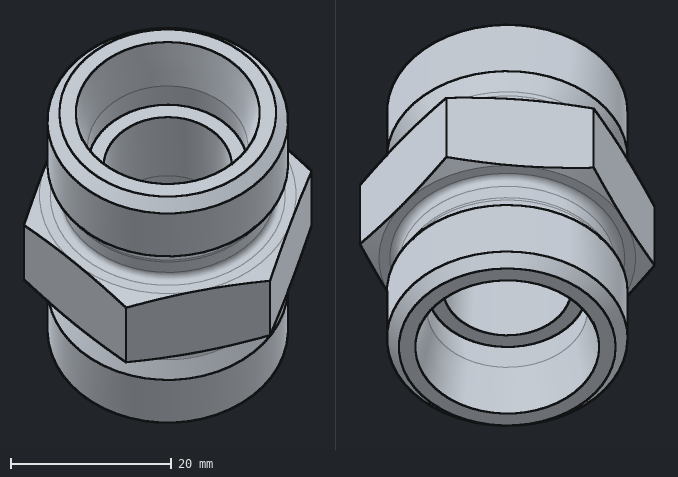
import cadquery as cq
import math

length = 44.0
half_length = length / 2
across_flats = 32.0
across_corners = across_flats / math.cos(math.radians(30))
hex_height = 12.0
half_hex = hex_height / 2
hex_chamfer_angle = 15.0

thread_diameter = 30.0
groove_diameter = 27.0
thread_radius = thread_diameter / 2
groove_radius = groove_diameter / 2
end_chamfer = thread_radius - groove_radius
thread_length = 9.9
runout_angle = 30.0
fillet_radius = 1.15

bore_diameter = 16.0
socket_diameter = 20.0
mouth_diameter = 22.92
cone_half_angle = 12.0
socket_depth = 10.5


def make_hexagon():
    """Hexagon with corners on Y, both faces chamfered to the inscribed circle."""
    prism = (
        cq.Workplane("XY").workplane(offset=-half_hex)
        .polygon(6, across_corners).extrude(hex_height)
        .rotate((0, 0, 0), (0, 0, 1), 30)
    )
    flat_radius = across_flats / 2
    corner_radius = across_corners / 2
    drop = (corner_radius - flat_radius) * math.tan(math.radians(hex_chamfer_angle))
    envelope = (
        cq.Workplane("XZ")
        .moveTo(0, -half_hex)
        .lineTo(flat_radius, -half_hex)
        .lineTo(corner_radius, -half_hex + drop)
        .lineTo(corner_radius, half_hex - drop)
        .lineTo(flat_radius, half_hex)
        .lineTo(0, half_hex)
        .close()
        .revolve(360, (0, 0, 0), (0, 1, 0))
    )
    return prism.intersect(envelope)


def make_upper_end():
    """Chamfered thread cylinder, runout cone and groove with concave fillets."""
    fillet_start = half_hex + fillet_radius
    fillet_center = groove_radius + fillet_radius
    on_arc = fillet_radius * math.sqrt(0.5)

    slope = math.radians(runout_angle)
    cone_start = half_length - thread_length
    cone_end_radius = fillet_center - fillet_radius * math.cos(slope)
    cone_end = cone_start - (thread_radius - cone_end_radius) / math.tan(slope)
    groove_end = cone_end - fillet_radius * math.sin(slope)
    blend_middle = (
        fillet_center - fillet_radius * math.cos(slope / 2),
        groove_end + fillet_radius * math.sin(slope / 2),
    )

    return (
        cq.Workplane("XZ")
        .lineTo(fillet_center, 0)
        .lineTo(fillet_center, half_hex)
        .threePointArc(
            (fillet_center - on_arc, fillet_start - on_arc),
            (groove_radius, fillet_start),
        )
        .lineTo(groove_radius, groove_end)
        .threePointArc(blend_middle, (cone_end_radius, cone_end))
        .lineTo(thread_radius, cone_start)
        .lineTo(thread_radius, half_length - end_chamfer)
        .lineTo(thread_radius - end_chamfer, half_length)
        .lineTo(0, half_length)
        .close()
        .revolve(360, (0, 0, 0), (0, 1, 0))
    )


def make_upper_bore():
    """Through bore, tube socket and conical mouth, from mid-length to the end face."""
    mouth_radius = mouth_diameter / 2
    socket_radius = socket_diameter / 2
    cone_depth = (mouth_radius - socket_radius) / math.tan(math.radians(cone_half_angle))
    return (
        cq.Workplane("XZ")
        .lineTo(bore_diameter / 2, 0)
        .lineTo(bore_diameter / 2, half_length - socket_depth)
        .lineTo(socket_radius, half_length - socket_depth)
        .lineTo(socket_radius, half_length - cone_depth)
        .lineTo(mouth_radius, half_length)
        .lineTo(0, half_length)
        .close()
        .revolve(360, (0, 0, 0), (0, 1, 0))
    )


upper_end = make_upper_end()
upper_bore = make_upper_bore()
result = (
    make_hexagon()
    .union(upper_end)
    .union(upper_end.mirror("XY"))
    .cut(upper_bore)
    .cut(upper_bore.mirror("XY"))
)